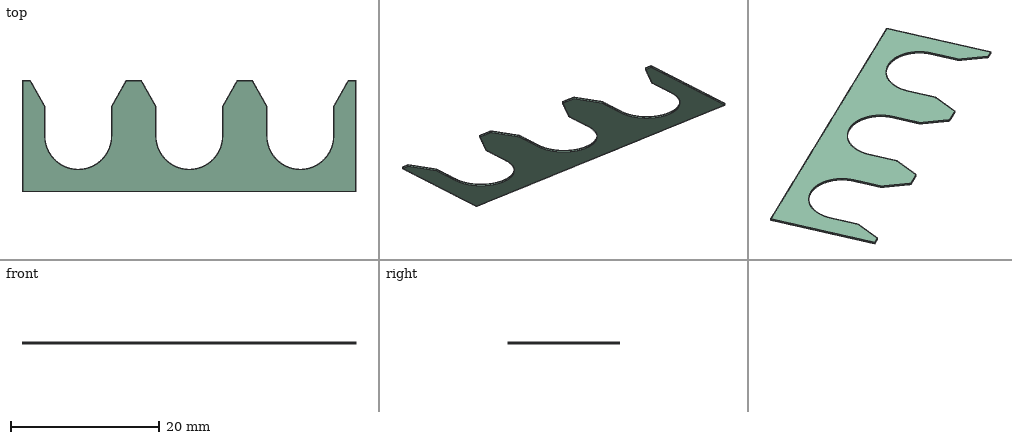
import cadquery as cq

length = 45.0
slot_count = 3
pitch = length / slot_count
depth = length / 3
thickness = 0.25

slot_width = pitch * 3 / 5
slot_radius = slot_width / 2
web = slot_radius * 2 / 3
mouth_depth = 3.5
mouth_flare = 2.0

back_y = -depth / 2
front_y = depth / 2
arc_center_y = back_y + web + slot_radius
mouth_y = front_y - mouth_depth


def slot_cutter(center_x):
    """Solid filling one slot through the full plate thickness."""
    mouth_half_width = slot_radius + mouth_flare
    return (
        cq.Workplane("XY", origin=(center_x, 0, -thickness / 2))
        .moveTo(-mouth_half_width, front_y)
        .lineTo(-slot_radius, mouth_y)
        .lineTo(-slot_radius, arc_center_y)
        .threePointArc((0, arc_center_y - slot_radius), (slot_radius, arc_center_y))
        .lineTo(slot_radius, mouth_y)
        .lineTo(mouth_half_width, front_y)
        .close()
        .extrude(thickness)
    )


result = cq.Workplane("XY").box(length, depth, thickness)
for index in range(slot_count):
    slot_x = (index - (slot_count - 1) / 2) * pitch
    result = result.cut(slot_cutter(slot_x))